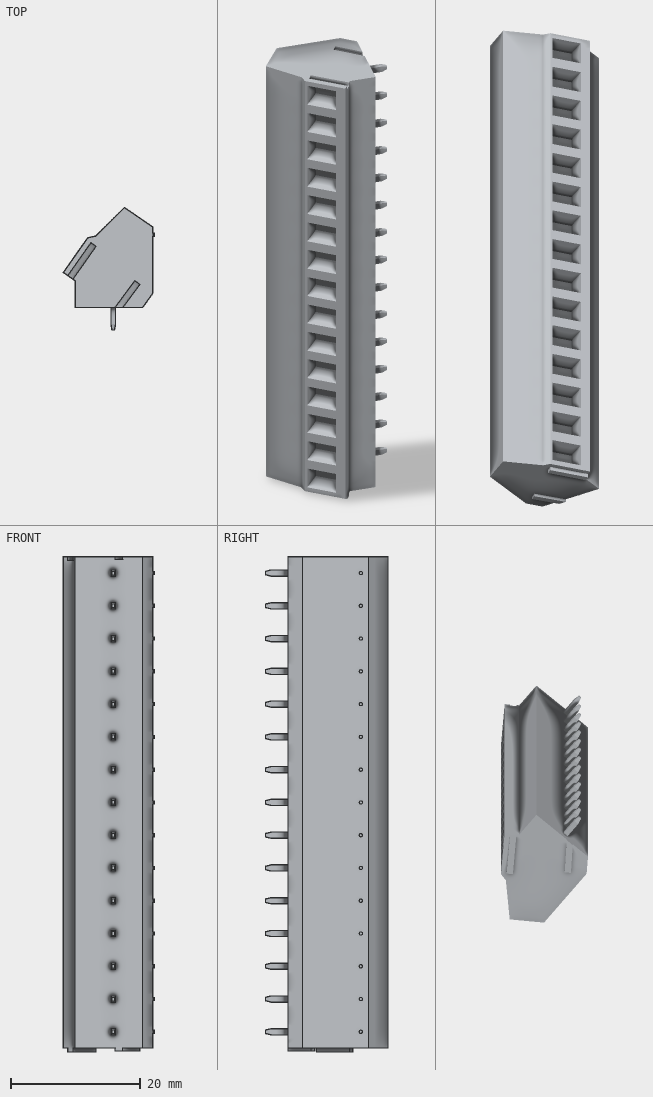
import cadquery as cq
import math

pole_count = 15
pitch = 5.08
body_length = pole_count * pitch
overlap = 0.3

lip_y = 5.45
left_x = 1.86
right_x = 13.91
peak_x = 9.5
peak_y = 15.53
shoulder_y = 10.85
ledge_end_y = 11.1
ledge_start_x = 3.8
ledge_end_x = 5.0
right_top_y = 12.5
corner_width = 1.6
corner_height = 2.25

entry_length = math.hypot(ledge_start_x, shoulder_y - lip_y)
along = (ledge_start_x / entry_length, (shoulder_y - lip_y) / entry_length)
inward = (along[1], -along[0])

entry_height = 3.5
entry_width = 4.7
entry_top_gap = 0.37
funnel_depth = 2.3
funnel_draft = 0.4
well_depth = 0.6

pin_x = 7.75
pin_thickness = 0.75
pin_height = 1.0
pin_length = 3.5
tip_length = 0.9
tip_scale = 0.55

stud_diameter = 0.5
stud_height = 0.2
stud_y = 11.3

key_width = 0.98
lip_key_start = 0.85
lip_key_end = 6.25
lip_key_height = 0.6
base_key_x = 8.0
base_key_length = 5.2
base_key_height = 0.45
base_key_angle = 53.5


def point_on_section(distance_along, distance_inward):
    """Section point measured from the lip along and into the entry face."""
    x = distance_along * along[0] + distance_inward * inward[0]
    y = lip_y + distance_along * along[1] + distance_inward * inward[1]
    return (x, y)


def make_body():
    lip_depth = left_x / inward[0]
    outline = [
        (left_x, 0),
        (right_x - corner_width, 0),
        (right_x, corner_height),
        (right_x, right_top_y),
        (peak_x, peak_y),
        (ledge_end_x, ledge_end_y),
        (ledge_start_x, shoulder_y),
        (0, lip_y),
        point_on_section(0, lip_depth),
    ]
    return cq.Workplane("XY").polyline(outline).close().extrude(body_length)


def make_wire_entry(z):
    middle = entry_length - entry_top_gap - entry_width / 2
    x, y = point_on_section(middle, 0)
    face = cq.Plane(origin=(x, y, z), xDir=(along[0], along[1], 0), normal=(inward[0], inward[1], 0))
    well_width = entry_width - 2 * funnel_draft
    well_height = entry_height - 2 * funnel_draft
    funnel = (
        cq.Workplane(face)
        .rect(entry_width, entry_height)
        .workplane(offset=funnel_depth)
        .rect(well_width, well_height)
        .loft(ruled=True)
    )
    well = cq.Workplane(face).rect(well_width, well_height).extrude(funnel_depth + well_depth)
    return funnel.union(well)


def make_pin(z):
    base = cq.Plane(origin=(pin_x, overlap, z), xDir=(1, 0, 0), normal=(0, -1, 0))
    shank_length = pin_length - tip_length
    shank = cq.Workplane(base).rect(pin_thickness, pin_height).extrude(overlap + shank_length)
    tip = (
        cq.Workplane(base)
        .workplane(offset=overlap + shank_length)
        .rect(pin_thickness, pin_height)
        .workplane(offset=tip_length)
        .rect(pin_thickness * tip_scale, pin_height * tip_scale)
        .loft(ruled=True)
    )
    return shank.union(tip)


def make_stud(z):
    base = cq.Plane(origin=(right_x - overlap, stud_y, z), xDir=(0, 1, 0), normal=(1, 0, 0))
    return cq.Workplane(base).circle(stud_diameter / 2).extrude(overlap + stud_height)


def lip_key_corners():
    far_side = lip_key_start + key_width
    return [
        point_on_section(0, lip_key_start),
        point_on_section(lip_key_end, lip_key_start),
        point_on_section(lip_key_end, far_side),
        point_on_section(0, far_side),
    ]


def base_key_corners():
    angle = math.radians(base_key_angle)
    run = base_key_length * math.cos(angle)
    rise = base_key_length * math.sin(angle)
    return [
        (base_key_x, 0),
        (base_key_x + run, rise),
        (base_key_x + run + key_width * math.sin(angle), rise - key_width * math.cos(angle)),
        (base_key_x + key_width / math.sin(angle), 0),
    ]


def make_key(corners, height, z):
    return cq.Workplane("XY", origin=(0, 0, z)).polyline(corners).close().extrude(height)


result = make_body()

for corners, height in ((lip_key_corners(), lip_key_height), (base_key_corners(), base_key_height)):
    result = result.cut(make_key(corners, height, body_length - height))
    result = result.union(make_key(corners, height, -height))

for pole in range(pole_count):
    z = (pole + 0.5) * pitch
    result = result.cut(make_wire_entry(z))
    result = result.union(make_pin(z)).union(make_stud(z))